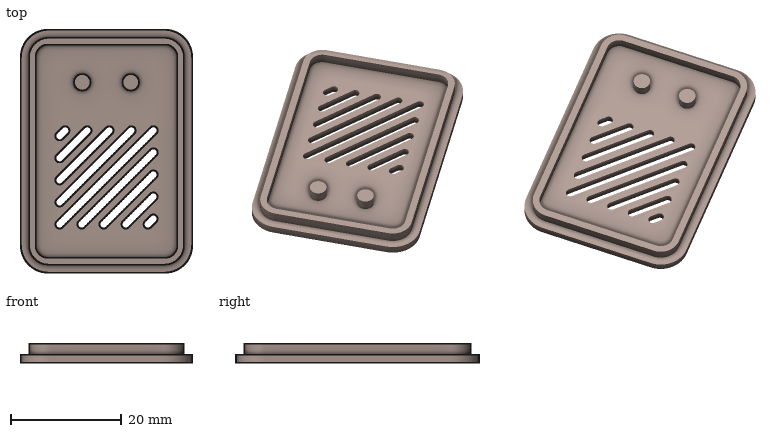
import cadquery as cq
import math

PLATE_LENGTH_X = 31.1
PLATE_LENGTH_Y = 44.1
PLATE_THICKNESS = 1.5
PLATE_CORNER_RADIUS = 5.0

LIP_INSET = 1.5
LIP_WALL = 1.2
LIP_HEIGHT = 2.0

PIN_DIAMETER = 3.0
PIN_HEIGHT = 2.0
PIN_SPACING = 8.8
PIN_CENTER_Y = 12.5

SLOT_WIDTH = 1.5
SLOT_PITCH = 4.0
SLOT_FIELD_SIDE = 17.0
SLOT_FIELD_CENTER_Y = -4.75
SLOTS_EACH_SIDE = 4
SLOT_ANGLE = 45.0


def rounded_block(inset, bottom_z, height):
    """Plate outline moved inward by inset, extruded upward from bottom_z."""
    return (
        cq.Workplane("XY")
        .workplane(offset=bottom_z)
        .rect(PLATE_LENGTH_X - 2 * inset, PLATE_LENGTH_Y - 2 * inset)
        .extrude(height)
        .edges("|Z")
        .fillet(PLATE_CORNER_RADIUS - inset)
    )


def make_lip():
    """Wall that follows the plate outline at a constant distance."""
    outer = rounded_block(LIP_INSET, PLATE_THICKNESS, LIP_HEIGHT)
    inner = rounded_block(LIP_INSET + LIP_WALL, PLATE_THICKNESS, LIP_HEIGHT)
    return outer.cut(inner)


def make_pins():
    """Pair of pins placed symmetrically about the YZ plane."""
    half_spacing = PIN_SPACING / 2
    return (
        cq.Workplane("XY")
        .workplane(offset=PLATE_THICKNESS)
        .pushPoints([(-half_spacing, PIN_CENTER_Y), (half_spacing, PIN_CENTER_Y)])
        .circle(PIN_DIAMETER / 2)
        .extrude(PIN_HEIGHT)
    )


def make_slot(step):
    """Cutter for the slot that lies step pitches from the field diagonal."""
    offset = step * SLOT_PITCH
    end_distance = (SLOT_FIELD_SIDE - abs(offset)) * math.sqrt(2)
    center_x = -offset / 2
    center_y = SLOT_FIELD_CENTER_Y + offset / 2
    return (
        cq.Workplane("XY")
        .center(center_x, center_y)
        .slot2D(end_distance + SLOT_WIDTH, SLOT_WIDTH, SLOT_ANGLE)
        .extrude(PLATE_THICKNESS)
    )


plate = rounded_block(0, 0, PLATE_THICKNESS)
for slot_step in range(-SLOTS_EACH_SIDE, SLOTS_EACH_SIDE + 1):
    plate = plate.cut(make_slot(slot_step))

result = plate.union(make_lip()).union(make_pins())